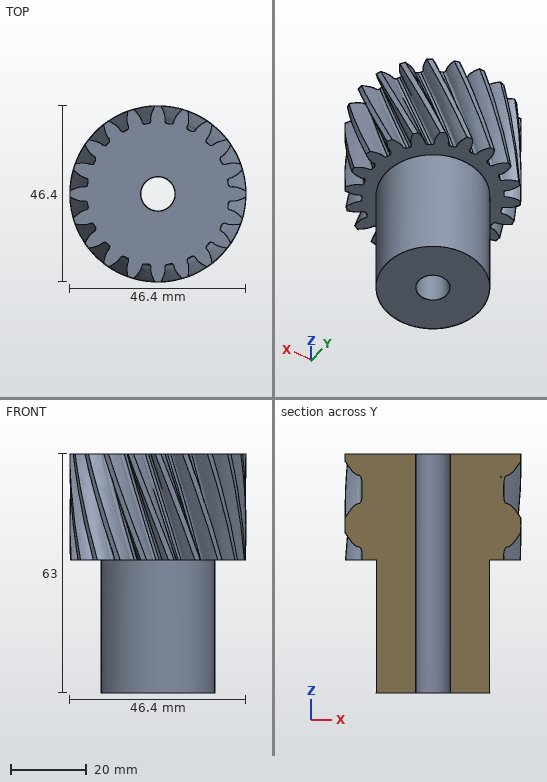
import cadquery as cq
import math

total_length = 63.0
face_width = 28.0
tip_diameter = 46.4
shank_diameter = 30.0
bore_diameter = 9.0
tooth_count = 20
helix_angle = math.radians(19.5)
normal_pressure_angle = math.radians(20)
dedendum_factor = 1.25
root_fillet_radius = 0.75
flank_steps = 8

shank_length = total_length - face_width
tip_radius = tip_diameter / 2
normal_module = tip_diameter / (tooth_count / math.cos(helix_angle) + 2)
pitch_radius = tooth_count * normal_module / math.cos(helix_angle) / 2
root_radius = pitch_radius - dedendum_factor * normal_module
pressure_angle = math.atan(math.tan(normal_pressure_angle) / math.cos(helix_angle))
base_radius = pitch_radius * math.cos(pressure_angle)
tooth_pitch = 2 * math.pi / tooth_count
twist = math.degrees(face_width * math.tan(helix_angle) / pitch_radius)


def polar(radius, angle):
    """Point at a radius and an angle in radians."""
    return (radius * math.cos(angle), radius * math.sin(angle))


def involute(angle):
    """Involute function of a pressure angle."""
    return math.tan(angle) - angle


def half_tooth_angle(radius):
    """Half the angle that a tooth spans at a radius on its involute flank."""
    local_pressure_angle = math.acos(min(1.0, base_radius / radius))
    return tooth_pitch / 4 + involute(pressure_angle) - involute(local_pressure_angle)


def flank_points(center, side):
    """Involute points from base to tip; side is -1 or +1 about the tooth center."""
    flank_depth = tip_radius - base_radius
    radii = [base_radius + flank_depth * i / flank_steps for i in range(flank_steps + 1)]
    return [polar(r, center + side * half_tooth_angle(r)) for r in radii]


def gear_profile():
    """Closed transverse outline, with radial flanks and round fillets below the base circle."""
    fillet_center_radius = root_radius + root_fillet_radius
    fillet_angle = math.asin(root_fillet_radius / fillet_center_radius)
    fillet_top_radius = fillet_center_radius * math.cos(fillet_angle)
    base_half_angle = half_tooth_angle(base_radius)

    def fillet_middle(flank_angle, side):
        x, y = polar(fillet_center_radius, flank_angle + side * fillet_angle)
        direction = flank_angle + side * (fillet_angle / 2 - 3 * math.pi / 4)
        dx, dy = polar(root_fillet_radius, direction)
        return (x + dx, y + dy)

    outline = cq.Workplane("XY", origin=(0, 0, shank_length))
    outline = outline.moveTo(*polar(fillet_top_radius, -base_half_angle))
    for i in range(tooth_count):
        center = i * tooth_pitch
        rising = flank_points(center, -1)
        falling = flank_points(center, 1)[::-1]
        left = center + base_half_angle
        right = center + tooth_pitch - base_half_angle
        outline = (
            outline.lineTo(*rising[0])
            .spline(rising[1:], includeCurrent=True)
            .threePointArc(polar(tip_radius, center), falling[0])
            .spline(falling[1:], includeCurrent=True)
            .lineTo(*polar(fillet_top_radius, left))
            .threePointArc(fillet_middle(left, 1), polar(root_radius, left + fillet_angle))
            .threePointArc(
                polar(root_radius, center + tooth_pitch / 2), polar(root_radius, right - fillet_angle)
            )
            .threePointArc(fillet_middle(right, -1), polar(fillet_top_radius, right))
        )
    return outline.close()


gear = gear_profile().twistExtrude(face_width, -twist).rotate((0, 0, 0), (0, 0, 1), twist)

shank = cq.Workplane("XY").circle(shank_diameter / 2).extrude(shank_length)
bore = cq.Workplane("XY").circle(bore_diameter / 2).extrude(total_length)

result = gear.union(shank).cut(bore)